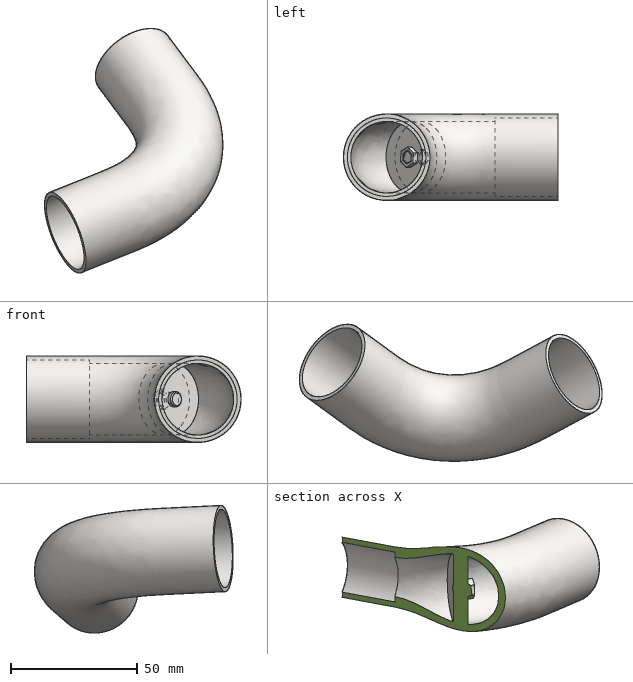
import cadquery as cq
import math

overall = 85.0
outer_diameter = 34.25
socket_diameter = 31.0
bore_diameter = 28.3
socket_length = 25.0

outer_radius = outer_diameter / 2
bend_span = overall - outer_radius - socket_length
bend_mid_radius = 44.4
bend_center = (socket_length, socket_length)
leg_axis = overall - outer_radius

miter = math.sqrt(0.5)

wall_thickness = 5.0
tip_diameter = 6.0
tip_length = 2.0
tip_chamfer = 0.5
head_across_flats = 7.0
head_height = 2.4
head_turn = 6
recess_across_flats = 4.5
recess_depth = 0.5


def straight_legs(diameter):
    """Both straight legs, from the open ends to the bend."""
    leg_x = (
        cq.Workplane("YZ", origin=(0, leg_axis, 0))
        .circle(diameter / 2)
        .extrude(socket_length)
    )
    leg_y = (
        cq.Workplane("XZ", origin=(leg_axis, socket_length, 0))
        .circle(diameter / 2)
        .extrude(socket_length)
    )
    return leg_x.union(leg_y)


def bend_path():
    """Cubic Bezier centerline, tangent to both legs and symmetric about the diagonal."""
    handle = (8 * bend_mid_radius * miter - 4 * bend_span) / 3
    start_x, start_y = bend_center
    return cq.Workplane("XY").bezier(
        [
            (start_x, leg_axis),
            (start_x + handle, leg_axis),
            (leg_axis, start_y + handle),
            (leg_axis, start_y),
        ]
    )


def quarter_bend(diameter):
    """Solid round bend joining the ends of the two legs."""
    return (
        cq.Workplane("YZ", origin=(socket_length, leg_axis, 0))
        .circle(diameter / 2)
        .sweep(bend_path())
    )


wall_center = (
    bend_center[0] + bend_mid_radius * miter,
    bend_center[1] + bend_mid_radius * miter,
    0,
)
wall_plane = cq.Plane(origin=wall_center, xDir=(miter, miter, 0), normal=(miter, -miter, 0))


def partition_wall():
    """Round slab whose rim is buried halfway into the pipe wall."""
    rim_radius = (bore_diameter + outer_diameter) / 4
    return cq.Workplane(wall_plane).circle(rim_radius).extrude(wall_thickness / 2, both=True)


def bolt_tip():
    """Round bolt end standing out of the wall toward the -Y opening."""
    return (
        cq.Workplane(wall_plane)
        .workplane(offset=wall_thickness / 2)
        .circle(tip_diameter / 2)
        .extrude(tip_length)
        .faces(">(1, -1, 0)")
        .chamfer(tip_chamfer)
    )


def hexagon(across_flats, start, length):
    """Hexagonal prism with corners nearly up and down, extruded along the wall normal."""
    return (
        cq.Workplane(wall_plane)
        .workplane(offset=start)
        .transformed(rotate=(0, 0, head_turn))
        .polygon(6, across_flats, circumscribed=True)
        .extrude(length)
    )


def bolt_head():
    """Hexagonal head with a hexagonal recess, facing the -X opening."""
    head_top = -wall_thickness / 2 - head_height
    head = hexagon(head_across_flats, head_top, head_height)
    return head.cut(hexagon(recess_across_flats, head_top, recess_depth))


body = straight_legs(outer_diameter).union(quarter_bend(outer_diameter))
hollow = body.cut(straight_legs(socket_diameter)).cut(quarter_bend(bore_diameter))
result = hollow.union(partition_wall()).union(bolt_tip()).union(bolt_head())